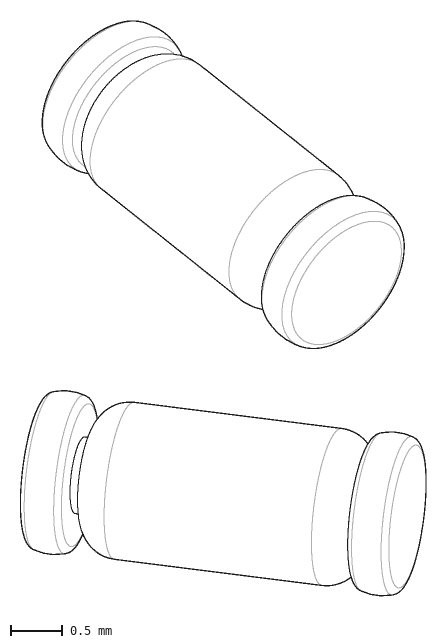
import cadquery as cq

overall_length = 3.7
cap_diameter = 1.6
cap_edge_diameter = 1.51
cap_thickness = 0.41
cap_rounding = 0.08

glass_diameter = 1.54
glass_length = 2.78
glass_rounding = 0.348

stem_diameter = 0.75

left_end = -overall_length / 2
glass_start = left_end + cap_thickness
glass_end = glass_start + glass_length
right_cap_start = overall_length / 2 - cap_thickness
stem_length = right_cap_start - glass_end


def cylinder_along_x(start, length, diameter):
    """Cylinder on the X axis, from start toward +X."""
    return cq.Workplane("YZ", origin=(start, 0, 0)).circle(diameter / 2).extrude(length)


def end_cap(start):
    """Metal end disc with a slightly bulged rim and rounded edges."""
    edge_radius = cap_edge_diameter / 2
    disc = (
        cq.Workplane("XY", origin=(start, 0, 0))
        .lineTo(0, edge_radius)
        .threePointArc((cap_thickness / 2, cap_diameter / 2), (cap_thickness, edge_radius))
        .lineTo(cap_thickness, 0)
        .close()
        .revolve(360, (0, 0, 0), (1, 0, 0))
    )
    return disc.faces("<X or >X").edges().fillet(cap_rounding)


def glass_body():
    """Glass cylinder with rounded ends, touching the left cap."""
    return cylinder_along_x(glass_start, glass_length, glass_diameter).edges("%CIRCLE").fillet(glass_rounding)


def right_terminal():
    """Right end disc with a short stem that meets the glass."""
    stem = cylinder_along_x(glass_end, stem_length, stem_diameter)
    return end_cap(right_cap_start).union(stem)


left_cap = end_cap(left_end)
glass = glass_body()
right_cap = right_terminal()

result = cq.Compound.makeCompound([left_cap.val(), glass.val(), right_cap.val()])